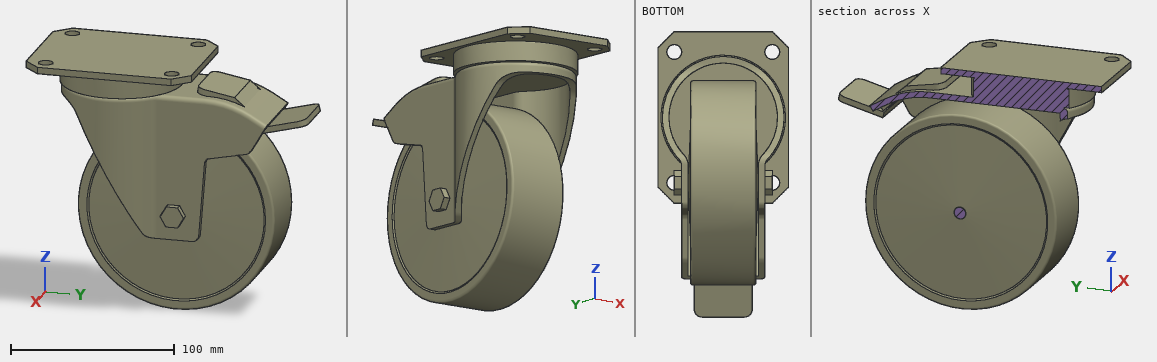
import cadquery as cq
import math

total_height = 155.0
plate_width = 80.0
plate_length = 105.0
plate_thickness = 4.2
plate_corner = 10.0
plate_hole_diameter = 9.0
plate_hole_spacing_x = 60.0
plate_hole_spacing_y = 80.0

ring_radius = 38.1
ring_edge_radius = 1.0
plate_bottom_z = total_height - plate_thickness

wheel_radius = 62.5
wheel_half_width = 20.0
wheel_edge_radius = 1.4
wheel_offset_y = 40.0
rim_inner_radius = 56.8
disc_radius = 55.8
disc_edge_half_width = 19.2
axle_z = wheel_radius

sheet = 4.0
fork_top_z = 138.5
fork_radius = 37.2
leg_half_width = 25.5
neck_radius = 5.6
fork_edge_radius = 3.0

roof_flat_end_y = 59.8
roof_arc_radius = 58.9
roof_slope_angle = 30
roof_slope_length = 11.2

leg_bottom_z = 46.7
collar_bottom_z = 131.6
front_top_y = -24.3
front_bottom_y = 23.8
heel_bottom_y = 55.5
notch_y = 59.8
notch_z = 100.3
tail_y = 88.1
tail_z = 106.3
collar_fillet = 15.0
toe_fillet = 9.0
leg_fillet = 4.0
tail_fillet = 5.2

bolt_across_flats = 13.0
bolt_head_height = 4.5
bolt_radius = 3.8

lever_half_width = 17.8
lever_thickness = 3.8
lever_corner_radius = 5.0
upper_pedal_tip_y = 52.5
upper_pedal_angle = 10.2
lever_bend_y = 76.5
lever_bend_z = 139.1
link_angle = 40.4
link_length = 22.7
lower_pedal_tip_y = 121.3
lower_pedal_tip_z = 128.5
lower_pedal_angle = 14.5
lower_pedal_length = 31.5


def make_plate():
    plate = (
        cq.Workplane("XY")
        .workplane(offset=plate_bottom_z)
        .rect(plate_width, plate_length)
        .extrude(plate_thickness)
        .edges("|Z")
        .chamfer(plate_corner)
    )
    return (
        plate.faces(">Z")
        .workplane(origin=(0, 0, total_height))
        .rect(plate_hole_spacing_x, plate_hole_spacing_y, forConstruction=True)
        .vertices()
        .hole(plate_hole_diameter)
    )


def make_ring():
    return (
        cq.Workplane("XY")
        .workplane(offset=fork_top_z)
        .circle(ring_radius)
        .extrude(plate_bottom_z - fork_top_z)
        .faces(">Z")
        .edges()
        .fillet(ring_edge_radius)
    )


def make_wheel():
    hub_half_width = leg_half_width - sheet
    near_side = [
        (0, hub_half_width),
        (disc_radius, disc_edge_half_width),
        (rim_inner_radius, wheel_half_width),
        (wheel_radius, wheel_half_width),
    ]
    far_side = [(radius, -offset) for radius, offset in reversed(near_side)]
    wheel = (
        cq.Workplane("YX")
        .polyline(near_side + far_side)
        .close()
        .revolve(360, (0, 0), (0, 1))
        .edges(cq.selectors.RadiusNthSelector(-1))
        .fillet(wheel_edge_radius)
    )
    return wheel.translate((0, wheel_offset_y, axle_z))


def roof_arc_point(inset, degrees):
    """Point on the roof arc, moved inward by inset, where the roof has turned down by degrees."""
    angle = math.radians(degrees)
    radius = roof_arc_radius - inset
    y = roof_flat_end_y + radius * math.sin(angle)
    z = fork_top_z - inset - radius * (1 - math.cos(angle))
    return y, z


def roof_end(inset):
    """Rear end point of the roof line moved inward by inset."""
    y, z = roof_arc_point(inset, roof_slope_angle)
    angle = math.radians(roof_slope_angle)
    return y + roof_slope_length * math.cos(angle), z - roof_slope_length * math.sin(angle)


def roof_body(inset):
    """Fork envelope before the leg outline is trimmed, moved inward by inset on sides and top."""
    radius = fork_radius - inset
    half_width = leg_half_width - inset
    top_z = fork_top_z - inset
    end_y, end_z = roof_end(inset)

    barrel = cq.Workplane("XY").circle(radius).extrude(top_z)
    legs = cq.Workplane("XY").box(2 * half_width, end_y, top_z, centered=(True, False, False))
    neck_y = math.sqrt(radius**2 - half_width**2)
    plan = barrel.union(legs)
    for side in (-1, 1):
        neck = cq.selectors.NearestToPointSelector((side * half_width, neck_y, top_z / 2))
        plan = plan.edges("|Z").edges(neck).fillet(neck_radius + inset)

    below_roof = (
        cq.Workplane("YZ")
        .moveTo(-fork_radius, 0)
        .lineTo(-fork_radius, top_z)
        .lineTo(roof_flat_end_y, top_z)
        .threePointArc(roof_arc_point(inset, roof_slope_angle / 2), roof_arc_point(inset, roof_slope_angle))
        .lineTo(end_y, end_z)
        .lineTo(end_y, 0)
        .close()
        .extrude(fork_radius, both=True)
    )
    return plan.intersect(below_roof)


def leg_outline():
    """Prism across X with the side outline of the fork."""
    end_y, end_z = roof_end(0)
    above_z = total_height
    above_y = end_y + (above_z - end_z) * math.tan(math.radians(roof_slope_angle))
    corners = [
        (-fork_radius, above_z),
        (-fork_radius, collar_bottom_z),
        (front_top_y, collar_bottom_z),
        (front_bottom_y, leg_bottom_z),
        (heel_bottom_y, leg_bottom_z),
        (notch_y, notch_z),
        (tail_y, tail_z),
        (end_y, end_z),
        (above_y, above_z),
    ]
    prism = cq.Workplane("YZ").polyline(corners).close().extrude(fork_radius, both=True)
    rounded_corners = [
        (front_top_y, collar_bottom_z, collar_fillet),
        (front_bottom_y, leg_bottom_z, toe_fillet),
        (heel_bottom_y, leg_bottom_z, leg_fillet),
        (notch_y, notch_z, leg_fillet),
        (tail_y, tail_z, tail_fillet),
    ]
    for y, z, radius in rounded_corners:
        prism = prism.edges(cq.selectors.NearestToPointSelector((0, y, z))).fillet(radius)
    return prism


def make_fork():
    outer = roof_body(0)
    outer = outer.faces("+Z").edges("not |X").fillet(fork_edge_radius)
    return outer.cut(roof_body(sheet)).intersect(leg_outline())


def make_axle():
    head_end_x = leg_half_width + bolt_head_height
    corner_diameter = bolt_across_flats / math.cos(math.pi / 6)
    axle_plane = cq.Workplane("YZ", origin=(0, wheel_offset_y, axle_z))
    shank = axle_plane.circle(bolt_radius).extrude(leg_half_width, both=True)
    heads = axle_plane.polygon(6, corner_diameter).extrude(head_end_x, both=True)
    gap = axle_plane.circle(corner_diameter).extrude(leg_half_width, both=True)
    return heads.cut(gap).union(shank)


def lever_strip(start_y, start_z, angle, length, round_end=False):
    """Flat strip whose upper edge leaves the start point at the given angle above +Y."""
    bar = (
        cq.Workplane("XY")
        .box(2 * lever_half_width, length, lever_thickness, centered=(True, False, False))
        .translate((0, 0, -lever_thickness))
    )
    if round_end:
        bar = bar.faces(">Y").edges("|Z").fillet(lever_corner_radius)
    return bar.rotate((0, 0, 0), (1, 0, 0), angle).translate((0, start_y, start_z))


def make_lever():
    """Upper pedal, link passing down through the roof, and lower pedal at the rear."""
    upper_length = (lever_bend_y - upper_pedal_tip_y) / math.cos(math.radians(upper_pedal_angle))
    tilt = math.radians(lower_pedal_angle)
    lower_root_y = lower_pedal_tip_y - lower_pedal_length * math.cos(tilt)
    lower_root_z = lower_pedal_tip_z - lower_pedal_length * math.sin(tilt)

    upper_pedal = (
        lever_strip(0, 0, upper_pedal_angle, upper_length, round_end=True)
        .mirror("XZ")
        .translate((0, lever_bend_y, lever_bend_z))
    )
    link = lever_strip(lever_bend_y, lever_bend_z, -link_angle, link_length)
    lower_pedal = lever_strip(
        lower_root_y, lower_root_z, lower_pedal_angle, lower_pedal_length, round_end=True
    )
    return upper_pedal.union(link).union(lower_pedal)


result = (
    make_plate()
    .union(make_ring())
    .union(make_fork())
    .union(make_axle())
    .union(make_wheel())
    .union(make_lever())
)